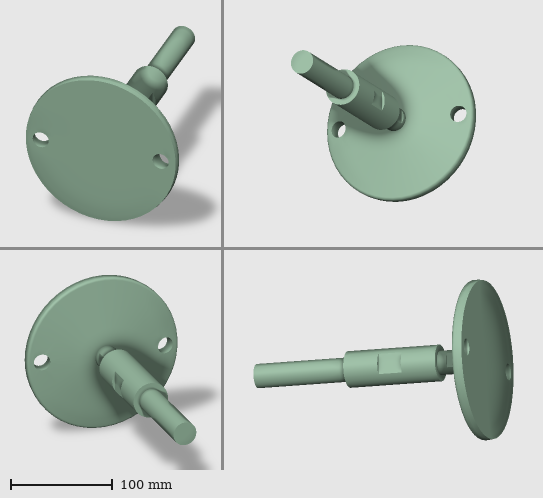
import cadquery as cq
import math

total_length = 239.0

base_diameter = 158.0
sole_diameter = 156.5
taper_height = 4.8
cone_edge_height = 10.0
cone_top_height = 21.0
rim_round = 2.9
mount_hole_diameter = 16.5
mount_hole_offset = 62.5

stem_diameter = 24.0
stem_flat_width = 19.4
stem_flat_start = 26.3
stem_flat_length = 12.2

sleeve_diameter = 36.0
sleeve_start = 48.5
sleeve_length = 95.1
sleeve_flat_width = 29.9
sleeve_flat_length = 24.4
sleeve_flat_start = sleeve_start + (sleeve_length - sleeve_flat_length) / 2

base_radius = base_diameter / 2
stem_radius = stem_diameter / 2
cone_angle = math.degrees(math.atan2(cone_top_height - cone_edge_height, base_radius - stem_radius))


def rod(diameter, start, length):
    """Solid cylinder on the Y axis, starting at the given height above the sole."""
    return cq.Workplane("XZ", origin=(0, start, 0)).circle(diameter / 2).extrude(-length)


def cut_wrench_flats(body, diameter, width, start, length):
    """Cut two opposite flats, facing -X and +X, into a round body."""
    depth = (diameter - width) / 2
    for side in (-1, 1):
        center_x = side * (width + depth) / 2
        cutter = cq.Workplane("XY").box(depth, length, diameter)
        body = body.cut(cutter.translate((center_x, start + length / 2, 0)))
    return body


def mounting_hole(side):
    """Cutter square to the cone surface, so it leans outwards towards the top."""
    lean = math.radians(cone_angle)
    axis = cq.Vector(side * math.sin(lean), math.cos(lean), 0)
    overshoot = cone_top_height
    start = cq.Vector(side * mount_hole_offset, 0, 0) - axis * overshoot
    return cq.Solid.makeCylinder(mount_hole_diameter / 2, 3 * overshoot, start, axis)


def make_base():
    """Conical disc with a rounded upper rim and a tapered lower rim."""
    sweep = math.radians(90 - cone_angle)
    tangent_length = rim_round * math.tan(sweep / 2)
    round_bottom = cone_edge_height - tangent_length
    center_x = base_radius - rim_round

    def round_point(angle):
        return (center_x + rim_round * math.cos(angle), round_bottom + rim_round * math.sin(angle))

    base = (
        cq.Workplane("XY")
        .moveTo(0, 0)
        .lineTo(sole_diameter / 2, 0)
        .lineTo(base_radius, taper_height)
        .lineTo(base_radius, round_bottom)
        .threePointArc(round_point(sweep / 2), round_point(sweep))
        .lineTo(stem_radius, cone_top_height)
        .lineTo(0, cone_top_height)
        .close()
        .revolve(360, (0, 0, 0), (0, 1, 0))
    )
    for side in (-1, 1):
        base = base.cut(cq.Workplane(mounting_hole(side)))
    return base


def make_foot():
    """Base and stem in one piece."""
    stem = rod(stem_diameter, cone_top_height, total_length - cone_top_height)
    stem = cut_wrench_flats(stem, stem_diameter, stem_flat_width, stem_flat_start, stem_flat_length)
    return make_base().union(stem)


def make_sleeve():
    """Tube around the stem, with wrench flats at mid length."""
    sleeve = rod(sleeve_diameter, sleeve_start, sleeve_length)
    sleeve = sleeve.cut(rod(stem_diameter, sleeve_start, sleeve_length))
    return cut_wrench_flats(
        sleeve, sleeve_diameter, sleeve_flat_width, sleeve_flat_start, sleeve_flat_length
    )


foot = make_foot()
sleeve = make_sleeve()

result = cq.Compound.makeCompound([foot.solids().val(), sleeve.solids().val()])